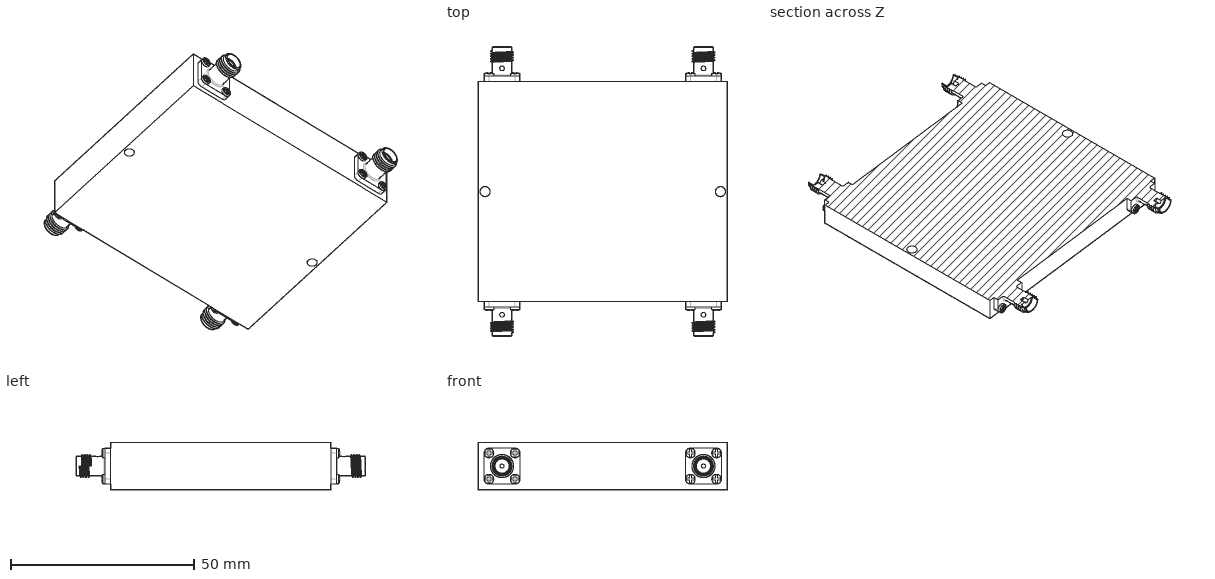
import cadquery as cq
import math

BODY_X = 68.0
BODY_Y = 60.1
BODY_Z = 13.0
MOUNT_HOLE_DIAMETER = 2.7
MOUNT_HOLE_EDGE_DISTANCE = 1.9

OVERALL_Y = 79.05
CONNECTOR_LENGTH = (OVERALL_Y - BODY_Y) / 2
CONNECTOR_SPACING = 54.95

FLANGE_SIDE = 9.8
FLANGE_THICKNESS = 1.5
SCREW_SPACING = 7.1
FLANGE_CORNER_RADIUS = (FLANGE_SIDE - SCREW_SPACING) / 2

HEAD_DIAMETER = 2.6
HEAD_RIM_HEIGHT = 0.6
HEAD_HEIGHT = 0.95
CROSS_LENGTH = 2.2
CROSS_WIDTH = 0.55
CROSS_DEPTH = 0.4

BARREL_DIAMETER = 5.4
BARREL_ROOT_FILLET = 0.3
BARREL_TIP_CHAMFER = 0.2
BORE_DIAMETER = 4.4
BORE_DEPTH = 1.7
INSULATOR_DIAMETER = 3.9
INSULATOR_STEP = 0.15
SOCKET_DIAMETER = 1.1
SOCKET_DEPTH = 1.6
SIDE_HOLE_DIAMETER = 1.3
SIDE_HOLE_HEIGHT = 3.55
SIDE_HOLE_DEPTH = 0.3

THREAD_DIAMETER = 6.3
THREAD_PITCH = 0.7
THREAD_START = 5.45
THREAD_TURNS = 4
THREAD_ROOT_WIDTH = 0.6
THREAD_CREST_WIDTH = 0.1
THREAD_OVERLAP = 0.1


def make_body():
    hole_x = BODY_X / 2 - MOUNT_HOLE_EDGE_DISTANCE
    return (
        cq.Workplane("XY")
        .box(BODY_X, BODY_Y, BODY_Z)
        .faces(">Z")
        .workplane()
        .pushPoints([(-hole_x, 0), (hole_x, 0)])
        .hole(MOUNT_HOLE_DIAMETER)
    )


def make_screw_head():
    """Domed head standing on the XY plane, with a cross recess in its top."""
    radius = HEAD_DIAMETER / 2
    dome_rise = HEAD_HEIGHT - HEAD_RIM_HEIGHT
    dome_radius = (radius**2 + dome_rise**2) / (2 * dome_rise)
    mid_radius = radius / 2
    mid_height = HEAD_HEIGHT - dome_radius + math.sqrt(dome_radius**2 - mid_radius**2)
    head = (
        cq.Workplane("XZ")
        .lineTo(radius, 0)
        .lineTo(radius, HEAD_RIM_HEIGHT)
        .threePointArc((mid_radius, mid_height), (0, HEAD_HEIGHT))
        .close()
        .revolve(360, (0, 0), (0, 1))
    )
    for length, width in ((CROSS_LENGTH, CROSS_WIDTH), (CROSS_WIDTH, CROSS_LENGTH)):
        slot = cq.Workplane("XY", origin=(0, 0, HEAD_HEIGHT)).rect(length, width).extrude(-CROSS_DEPTH)
        head = head.cut(slot)
    return head


def make_thread():
    """Trapezoidal ridge swept along a helix around the Z axis."""
    root_radius = BARREL_DIAMETER / 2 - THREAD_OVERLAP
    crest_radius = THREAD_DIAMETER / 2
    root = THREAD_ROOT_WIDTH / 2
    crest = THREAD_CREST_WIDTH / 2
    profile = [(root_radius, -root), (crest_radius, -crest), (crest_radius, crest), (root_radius, root)]
    helix = cq.Wire.makeHelix(THREAD_PITCH, THREAD_PITCH * THREAD_TURNS, root_radius)
    ridge = (
        cq.Workplane("XZ")
        .polyline(profile)
        .close()
        .sweep(cq.Workplane(obj=helix), isFrenet=True)
    )
    return ridge.translate((0, 0, THREAD_START))


def cylinder(diameter, bottom, top):
    return cq.Workplane("XY", origin=(0, 0, bottom)).circle(diameter / 2).extrude(top - bottom)


def make_connector():
    """Connector along +Z with its flange seated on the XY plane."""
    flange = (
        cq.Workplane("XY")
        .rect(FLANGE_SIDE, FLANGE_SIDE)
        .extrude(FLANGE_THICKNESS)
        .edges("|Z")
        .fillet(FLANGE_CORNER_RADIUS)
    )
    barrel = (
        cylinder(BARREL_DIAMETER, FLANGE_THICKNESS, CONNECTOR_LENGTH)
        .faces(">Z")
        .edges()
        .chamfer(BARREL_TIP_CHAMFER)
    )
    connector = (
        flange.union(barrel)
        .edges(cq.selectors.RadiusNthSelector(-1))
        .edges("<Z")
        .fillet(BARREL_ROOT_FILLET)
        .union(make_thread())
    )

    head = make_screw_head()
    half_spacing = SCREW_SPACING / 2
    for x in (-half_spacing, half_spacing):
        for y in (-half_spacing, half_spacing):
            connector = connector.union(head.translate((x, y, FLANGE_THICKNESS)))

    bore_floor = CONNECTOR_LENGTH - BORE_DEPTH
    insulator_face = bore_floor - INSULATOR_STEP
    side_hole = (
        cq.Workplane("XZ", origin=(0, BARREL_DIAMETER / 2, SIDE_HOLE_HEIGHT))
        .circle(SIDE_HOLE_DIAMETER / 2)
        .extrude(SIDE_HOLE_DEPTH)
    )
    return (
        connector.cut(cylinder(BORE_DIAMETER, bore_floor, CONNECTOR_LENGTH))
        .cut(cylinder(INSULATOR_DIAMETER, insulator_face, bore_floor))
        .cut(cylinder(SOCKET_DIAMETER, insulator_face - SOCKET_DEPTH, insulator_face))
        .cut(side_hole)
    )


result = make_body()

front_connector = make_connector().rotate((0, 0, 0), (1, 0, 0), 90).translate((0, -BODY_Y / 2, 0))
back_connector = front_connector.rotate((0, 0, 0), (0, 0, 1), 180)
for x in (-CONNECTOR_SPACING / 2, CONNECTOR_SPACING / 2):
    result = result.union(front_connector.translate((x, 0, 0)))
    result = result.union(back_connector.translate((x, 0, 0)))